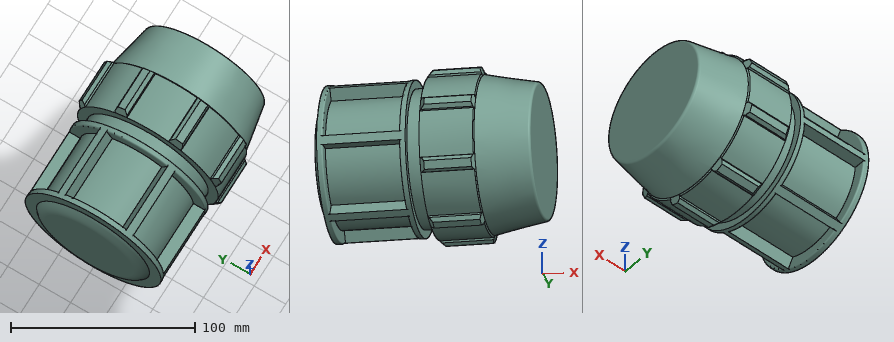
import cadquery as cq
import math

total_length = 121.0
plug_x0, plug_x1 = 3.8, 52.8
nut_x0, nut_x1 = 60.7, 91.0

cap_flat_radius = 28.5
core_radius = 35.9

flange_radius = 86.4 / 2
first_flange_thickness = 3.4
second_flange_thickness = 3.3
flange_rounding = 0.8
body_rib_count = 6
body_rib_width = 5.1
neck_radius = 76.8 / 2

nut_radius = 44.8
nut_chamfer_length = 0.6
nut_chamfer_depth = 1.0
grip_count = 8
grip_radius = 47.9
grip_shoulder_radius = 45.7
grip_base_width = 8.2
grip_top_width = 4.8
grip_front_slope = 2.7
grip_back_slope = 1.5
grip_root_radius = nut_radius - 1.2

taper_end_radius = 37.9
taper_rounding = 1.7

x_axis = ((0, 0, 0), (1, 0, 0))


def revolve_about_x(profile):
    """Turn a closed (x, radius) profile about the fitting axis."""
    return profile.close().revolve(360, *x_axis)


def cylinder(x0, x1, radius):
    return cq.Workplane("YZ").workplane(offset=x0).circle(radius).extrude(x1 - x0)


def domed_cap():
    rise = core_radius - cap_flat_radius
    arc_radius = (plug_x0**2 + rise**2) / (2 * plug_x0)
    half_sweep = math.asin(rise / arc_radius) / 2
    arc_middle = (
        arc_radius * (1 - math.cos(half_sweep)),
        cap_flat_radius + arc_radius * math.sin(half_sweep),
    )
    return revolve_about_x(
        cq.Workplane("XY")
        .lineTo(0, cap_flat_radius)
        .threePointArc(arc_middle, (plug_x0, core_radius))
        .lineTo(plug_x0, 0)
    )


def body_windows():
    """Ring between the flanges, rounded out at its rims and interrupted by the ribs."""
    x0 = plug_x0 + first_flange_thickness
    x1 = plug_x1 - second_flange_thickness
    tangent_radius = flange_radius - flange_rounding
    ring = revolve_about_x(
        cq.Workplane("XY")
        .moveTo(x0, core_radius)
        .lineTo(x0, tangent_radius)
        .radiusArc((x0 - flange_rounding, flange_radius), -flange_rounding)
        .lineTo(x1 + flange_rounding, flange_radius)
        .radiusArc((x1, tangent_radius), -flange_rounding)
        .lineTo(x1, core_radius)
    )
    length = plug_x1 - plug_x0
    bar = cq.Workplane("XY").box(length, 2 * total_length, body_rib_width)
    bar = bar.translate((plug_x0 + length / 2, 0, 0))
    for i in range(body_rib_count // 2):
        ring = ring.cut(bar.rotate(*x_axis, i * 360 / body_rib_count))
    return ring


def nut_and_taper():
    profile = revolve_about_x(
        cq.Workplane("XY")
        .moveTo(nut_x0, 0)
        .lineTo(nut_x0, nut_radius)
        .lineTo(nut_x1 - nut_chamfer_length, nut_radius)
        .lineTo(nut_x1, nut_radius - nut_chamfer_depth)
        .lineTo(total_length, taper_end_radius)
        .lineTo(total_length, 0)
    )
    return profile.faces(">X").edges().fillet(taper_rounding)


def grip_rib():
    """Grip rib on the +Y side, with sloping flanks and ends."""
    half_base = grip_base_width / 2
    half_top = grip_top_width / 2
    section = (
        cq.Workplane("YZ")
        .workplane(offset=nut_x0)
        .polyline([
            (grip_root_radius, -half_base),
            (grip_shoulder_radius, -half_base),
            (grip_radius, -half_top),
            (grip_radius, half_top),
            (grip_shoulder_radius, half_base),
            (grip_root_radius, half_base),
        ])
        .close()
        .extrude(nut_x1 - nut_x0)
    )
    side = (
        cq.Workplane("XY")
        .polyline([
            (nut_x0, grip_root_radius),
            (nut_x0, nut_radius),
            (nut_x0 + grip_front_slope, grip_radius),
            (nut_x1 - grip_back_slope, grip_radius),
            (nut_x1, nut_radius - nut_chamfer_depth),
            (nut_x1, grip_root_radius),
        ])
        .close()
        .extrude(half_base, both=True)
    )
    return section.intersect(side)


body = cylinder(plug_x0, plug_x1, flange_radius).cut(body_windows())
neck = cylinder(plug_x1, nut_x0, neck_radius)
result = domed_cap().union(body).union(neck).union(nut_and_taper())

grip_spacing = 360 / grip_count
for i in range(grip_count):
    result = result.union(grip_rib().rotate(*x_axis, (i + 0.5) * grip_spacing))